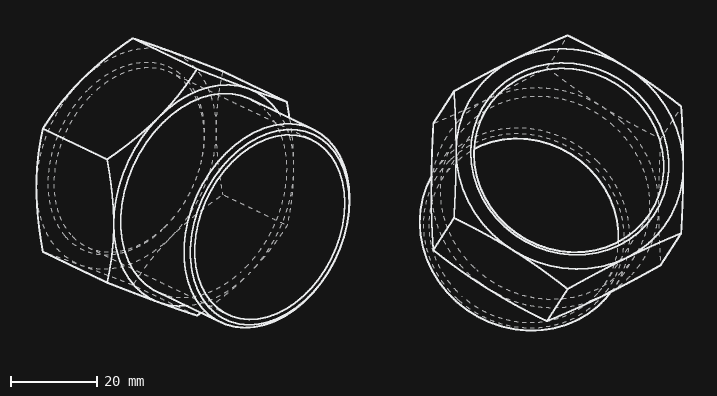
import cadquery as cq
import math

corner_width = 62.0
total_length = 52.5
hex_length = 28.35
spigot_diameter = 49.55
bore_diameter = 44.85
mouth_diameter = 46.8
corner_chamfer_angle = 30.0
spigot_chamfer = 1.05

flat_width = corner_width * math.cos(math.radians(30))
corner_rise = (corner_width - flat_width) / 2
corner_chamfer_length = corner_rise * math.tan(math.radians(corner_chamfer_angle))
mouth_depth = (mouth_diameter - bore_diameter) / 2


def revolve_about_x(profile):
    """Turn a closed (x, radius) outline about the X axis."""
    return cq.Workplane("XY").polyline(profile).close().revolve(360, (0, 0, 0), (1, 0, 0))


def make_hex_nut():
    """Hexagon with corners at +Z and -Z, both ends turned down to the flats."""
    prism = (
        cq.Workplane("YZ")
        .polygon(6, corner_width)
        .extrude(hex_length)
        .rotate((0, 0, 0), (1, 0, 0), 90)
    )
    turned_envelope = revolve_about_x([
        (0, 0),
        (0, flat_width / 2),
        (corner_chamfer_length, corner_width / 2),
        (hex_length - corner_chamfer_length, corner_width / 2),
        (hex_length, flat_width / 2),
        (hex_length, 0),
    ])
    return prism.intersect(turned_envelope)


def make_spigot():
    """Round end with a 45 degree lead-in chamfer, starting inside the hexagon."""
    radius = spigot_diameter / 2
    return revolve_about_x([
        (hex_length / 2, 0),
        (hex_length / 2, radius),
        (total_length - spigot_chamfer, radius),
        (total_length, radius - spigot_chamfer),
        (total_length, 0),
    ])


def make_bore():
    """Through bore with a 45 degree chamfer at the hexagon end."""
    return revolve_about_x([
        (0, 0),
        (0, mouth_diameter / 2),
        (mouth_depth, bore_diameter / 2),
        (total_length, bore_diameter / 2),
        (total_length, 0),
    ])


result = make_hex_nut().union(make_spigot()).cut(make_bore())